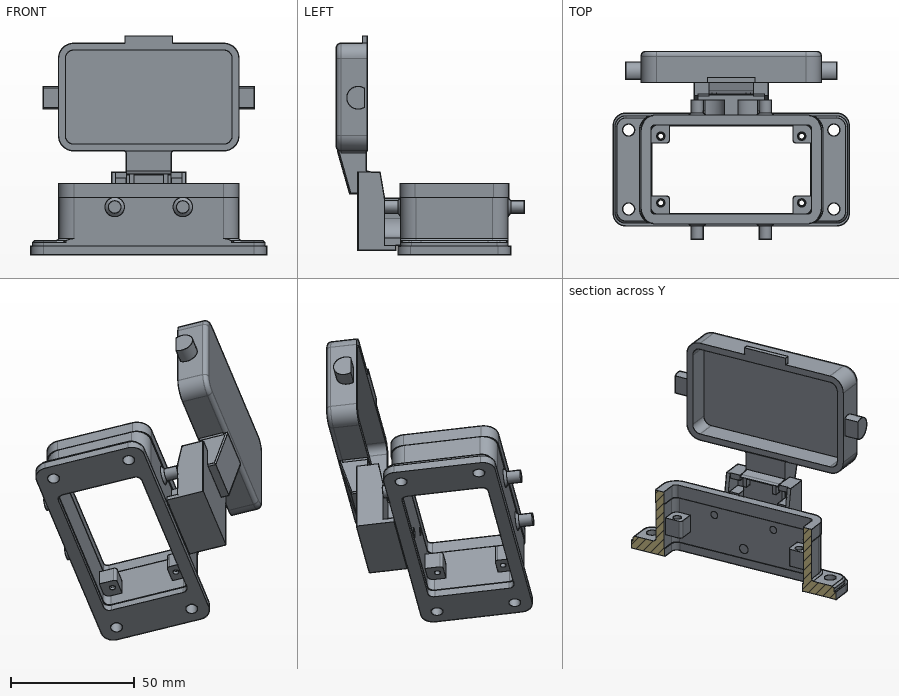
import cadquery as cq
import math


flange_length = 95.5
flange_width = 45.65
flange_height = 3.5
flange_corner = 5.2
step_ledge = 0.8
step_top = 5.8
step_chamfer = 0.9
screw_x = 41.4
screw_y = 15.95
screw_diameter = 4.8

wall_length = 72.8
wall_width = 43.4
wall_corner = 6.2
wall_root_chamfer = 0.8
collar_length = 73.0
collar_width = 44.1
collar_bottom = 23.3
housing_top = 28.9
cavity_length = 64.9
cavity_width = 36.1
cavity_corner = 1.7
cavity_lower_inset = 0.1
cavity_lower_corner = 2.5
opening_inset = 0.4

boss_x = 24.9
boss_y = 10.7
boss_bottom = 9.4
boss_top = 16.9
boss_corner = 1.1
boss_hole_x = 28.5
boss_hole_y = 13.5
boss_hole_diameter = 2.3
boss_bore_diameter = 3.3
boss_bore_depth = 5.7

pin_x = 13.75
pin_z = 19.4
pin_diameter = 5.1
pin_root_diameter = 7.8
pin_root_length = 1.1
pin_end = 28.3

bracket_front = 28.2
bracket_top_front = 30.0
bracket_back = 39.1
bracket_bottom = 1.9
bracket_top = 33.4
bracket_half_width = 15.0
bracket_edge = 0.4
web_top = 22.9
well_front = 30.2
well_bottom = 19.1
channel_half_width = 9.0
cheek_wall = 1.6
cheek_roof_front = 30.5
cheek_roof = 2.4
pocket_back = 36.3
shelf_front = 29.6
shelf_top = 25.4
foot_front = 23.6
foot_top = 3.9

pin_peg_diameter = 3.15
pin_peg_z = 19.7
post_peg_diameter = 4.0
post_peg_z = 7.7

post_half_width = 2.7
flare_start = 14.8
flare_radius = 8.0

lid_front = 35.1
lid_back = 47.75
lid_bottom = 42.0
lid_top = 85.6
lid_length = collar_length
lid_corner = wall_corner
lid_rim = 2.8
lid_recess_depth = 9.0
lid_edge_round = 2.0
tab_half_width = 9.6
tab_thickness = 2.0
tab_top = 88.5

stud_end = 42.7
stud_radius = 4.6
stud_y = 38.9
stud_z = 63.5
stud_flat = 36.4

arm_front = 35.5
arm_tail = 42.3
arm_bottom = 24.5
arm_root_back = 47.3
arm_edge = 0.6
arm_half_width = 9.2
arm_flare_height = 0.8

knuckle_front = 30.6
knuckle_front_top = 32.7
knuckle_crest = 31.9
knuckle_top = 33.1
knuckle_arm_top = 34.0
recess_depth = 2.7
recess_top = 32.4
hook_inner_x = 6.0
hook_outer_x = 7.7
hook_bottom = 28.65


def block(x0, x1, y0, y1, z0, z1):
    return cq.Workplane("XY").box(x1 - x0, y1 - y0, z1 - z0, centered=False).translate((x0, y0, z0))


def rounded_block(length, width, z0, z1, corner):
    half_x = length / 2
    half_y = width / 2
    return block(-half_x, half_x, -half_y, half_y, z0, z1).edges("|Z").fillet(corner)


def slab_along_x(points, half_width):
    """Extrude a closed (y, z) outline symmetrically about the YZ plane."""
    return cq.Workplane("YZ").polyline(points).close().extrude(half_width, both=True)


def make_shell():
    flange = rounded_block(flange_length, flange_width, 0, flange_height, flange_corner)
    step_length = flange_length - 2 * step_ledge
    step = rounded_block(step_length, wall_width, flange_height, step_top, flange_corner - step_ledge)
    step = step.faces(">Z").edges().chamfer(step_chamfer)
    root_length = wall_length + 2 * wall_root_chamfer
    root_width = wall_width + 2 * wall_root_chamfer
    root_top = step_top + wall_root_chamfer
    root = rounded_block(root_length, root_width, flange_height, root_top, wall_corner + wall_root_chamfer)
    root = root.faces(">Z").edges().chamfer(wall_root_chamfer)
    root = root.intersect(cq.Workplane("XY").box(root_length, wall_width, 2 * root_top))
    walls = rounded_block(wall_length, wall_width, flange_height, collar_bottom, wall_corner)
    collar = rounded_block(collar_length, collar_width, collar_bottom, housing_top, wall_corner)
    return flange.union(step).union(root).union(walls).union(collar)


def make_cavity():
    upper = rounded_block(cavity_length, cavity_width, collar_bottom, housing_top, cavity_corner)
    lower_length = cavity_length - 2 * cavity_lower_inset
    lower_width = cavity_width - 2 * cavity_lower_inset
    lower = rounded_block(lower_length, lower_width, flange_height, collar_bottom, cavity_lower_corner)
    opening_length = cavity_length - 2 * opening_inset
    opening_width = cavity_width - 2 * opening_inset
    opening = rounded_block(opening_length, opening_width, 0, flange_height, cavity_lower_corner)
    return upper.union(lower).union(opening)


def make_boss(side_x, side_y):
    """Boss hanging in one corner of the cavity, with a counterbored screw hole."""
    overlap = opening_inset
    outer_x = cavity_length / 2 + overlap
    outer_y = cavity_width / 2 + overlap
    boss = block(boss_x, outer_x, boss_y, outer_y, boss_bottom, boss_top)
    boss = boss.edges("|Z and <X and <Y").fillet(boss_corner)
    boss = (
        boss.faces(">Z").workplane(origin=(boss_hole_x, boss_hole_y, boss_top))
        .cboreHole(boss_hole_diameter, boss_bore_diameter, boss_bore_depth)
    )
    if side_x < 0:
        boss = boss.mirror("YZ")
    if side_y < 0:
        boss = boss.mirror("XZ")
    return boss


def make_pin(x, end):
    """Round pin with a conical root, pointing in +Y from the outer face of the back wall."""
    face = wall_width / 2
    profile = [
        (0, face),
        (pin_root_diameter / 2, face),
        (pin_diameter / 2, face + pin_root_length),
        (pin_diameter / 2, end),
        (0, end),
    ]
    pin = cq.Workplane("XY").polyline(profile).close().revolve(360, (0, 0, 0), (0, 1, 0))
    return pin.translate((x, 0, pin_z))


def make_pegs():
    """Pegs through the back wall, flush with its inner face; also the shape of their holes."""
    inner_face = cavity_width / 2 - cavity_lower_inset
    length = wall_width / 2 - inner_face
    wall_plane = cq.Workplane(cq.Plane((0, inner_face, 0), (-1, 0, 0), (0, 1, 0)))
    pin_pegs = wall_plane.pushPoints([(-pin_x, pin_peg_z), (pin_x, pin_peg_z)])
    pin_pegs = pin_pegs.circle(pin_peg_diameter / 2).extrude(length)
    post_peg = wall_plane.center(0, post_peg_z).circle(post_peg_diameter / 2).extrude(length)
    return pin_pegs.add(post_peg)


def make_bracket():
    side_outline = [
        (bracket_back, bracket_bottom),
        (foot_front, bracket_bottom),
        (foot_front, foot_top),
        (bracket_front, foot_top),
        (bracket_front, web_top),
        (bracket_top_front, bracket_top),
        (bracket_back, bracket_top),
    ]
    bracket = slab_along_x(side_outline, bracket_half_width)
    bracket = bracket.edges("|Z and >Y").chamfer(bracket_edge)
    channel = block(
        -channel_half_width, channel_half_width, bracket_front, bracket_back, web_top, bracket_top
    )
    well_back = knuckle_front + recess_depth
    well = block(-channel_half_width, channel_half_width, well_front, well_back, well_bottom, web_top)
    bracket = bracket.cut(channel).cut(well)

    pocket_outline = [
        (bracket_front, web_top),
        (bracket_front, bracket_top),
        (cheek_roof_front, bracket_top),
        (cheek_roof_front, bracket_top - cheek_roof),
        (pocket_back, bracket_top - cheek_roof),
        (pocket_back, shelf_top),
        (shelf_front, shelf_top),
        (shelf_front, web_top),
    ]
    pocket_width = bracket_half_width - cheek_wall - channel_half_width
    pocket_middle = channel_half_width + pocket_width / 2
    pocket = slab_along_x(pocket_outline, pocket_width / 2)
    for side in (-1, 1):
        bracket = bracket.cut(pocket.translate((side * pocket_middle, 0, 0)))
    return bracket


def make_post():
    flare_x = post_half_width + flare_radius
    flare_bottom = flare_start - flare_radius
    reach = flare_radius * (1 - math.sqrt(0.5))
    post = (
        cq.Workplane("XZ")
        .moveTo(-post_half_width, web_top)
        .lineTo(post_half_width, web_top)
        .lineTo(post_half_width, flare_start)
        .threePointArc((post_half_width + reach, flare_bottom + reach), (flare_x, flare_bottom))
        .lineTo(flare_x, foot_top)
        .lineTo(-flare_x, foot_top)
        .lineTo(-flare_x, flare_bottom)
        .threePointArc((-post_half_width - reach, flare_bottom + reach), (-post_half_width, flare_start))
        .close()
    )
    wall = wall_width / 2
    return post.extrude(wall - bracket_front).translate((0, wall, 0))


def make_housing():
    housing = make_shell().cut(make_cavity())
    for side_x in (-1, 1):
        for side_y in (-1, 1):
            housing = housing.union(make_boss(side_x, side_y))
        housing = housing.union(make_pin(side_x * pin_x, pin_end).mirror("XZ"))
    screws = cq.Workplane("XY").rect(2 * screw_x, 2 * screw_y, forConstruction=True).vertices()
    housing = housing.cut(screws.circle(screw_diameter / 2).extrude(step_top))
    for peg in make_pegs().vals():
        housing = housing.cut(cq.Workplane(peg))
    return housing


def make_lid_shell():
    half = lid_length / 2
    shell = block(-half, half, lid_front, lid_back, lid_bottom, lid_top)
    shell = shell.edges("|Y").fillet(lid_corner)
    shell = shell.faces(">Y").edges().fillet(lid_edge_round)
    recess_half = half - lid_rim
    recess_back = lid_front + lid_recess_depth
    recess = block(
        -recess_half, recess_half, lid_front, recess_back, lid_bottom + lid_rim, lid_top - lid_rim
    )
    recess = recess.edges("|Y").fillet(lid_corner - lid_rim)
    tab_back = lid_front + tab_thickness
    tab = block(-tab_half_width, tab_half_width, lid_front, tab_back, lid_top - lid_rim, tab_top)
    return shell.union(tab).cut(recess)


def make_stud(side_x):
    """D-shaped stud on one end of the lid, flat towards the front."""
    root = lid_length / 2 - lid_rim / 2
    stud = cq.Workplane("YZ").center(stud_y, stud_z).circle(stud_radius).extrude(stud_end - root)
    flat = block(
        0, stud_end, stud_y - stud_radius, stud_flat, stud_z - stud_radius, stud_z + stud_radius
    )
    stud = stud.cut(flat).translate((root, 0, 0))
    return stud if side_x > 0 else stud.mirror("YZ")


def make_arm():
    """Tapering arm below the lid, flared where it meets the lid."""
    arm_top = lid_bottom + lid_rim / 2
    outline = [
        (arm_front, arm_top),
        (arm_root_back, arm_top),
        (arm_root_back, lid_bottom),
        (arm_tail, arm_bottom),
        (arm_front, arm_bottom),
    ]
    arm = slab_along_x(outline, arm_half_width)
    back_middle = ((arm_root_back + arm_tail) / 2, (lid_bottom + arm_bottom) / 2)
    bottom_middle = ((arm_front + arm_tail) / 2, arm_bottom)
    for side in (-1, 1):
        for y, z in (back_middle, bottom_middle):
            edge = cq.selectors.NearestToPointSelector((side * arm_half_width, y, z))
            arm = arm.edges(edge).chamfer(arm_edge)
    flare = (
        cq.Workplane("XZ")
        .moveTo(-arm_half_width, lid_bottom - arm_flare_height)
        .lineTo(arm_half_width, lid_bottom - arm_flare_height)
        .lineTo(tab_half_width, lid_bottom)
        .lineTo(-tab_half_width, lid_bottom)
        .close()
        .extrude(arm_front - (lid_back - lid_edge_round))
        .translate((0, arm_front, 0))
    )
    return arm.union(flare)


def make_knuckle():
    """Root of the arm between the bracket cheeks, hollowed at the front below two hooks."""
    outline = [
        (bracket_back, web_top),
        (knuckle_front, web_top),
        (knuckle_front, knuckle_front_top),
        (knuckle_crest, knuckle_top),
        (arm_front, knuckle_arm_top),
        (bracket_back, knuckle_arm_top),
    ]
    knuckle = slab_along_x(outline, channel_half_width)
    recess_back = knuckle_front + recess_depth
    recess = block(
        -channel_half_width, channel_half_width, knuckle_front, recess_back, web_top, recess_top
    )
    for side in (-1, 1):
        inner, outer = sorted((side * hook_inner_x, side * hook_outer_x))
        hook = block(inner, outer, knuckle_front, recess_back, hook_bottom, recess_top)
        recess = recess.cut(hook)
    return knuckle.cut(recess)


def make_cover():
    cover = make_bracket().union(make_post()).union(make_knuckle()).union(make_arm())
    cover = cover.union(make_lid_shell())
    for side_x in (-1, 1):
        cover = cover.union(make_stud(side_x))
        cover = cover.union(make_pin(side_x * pin_x, bracket_front))
    for peg in make_pegs().vals():
        cover = cover.union(cq.Workplane(peg))
    return cover


housing = make_housing()
cover = make_cover()

result = cq.Compound.makeCompound([housing.solids().val(), cover.solids().val()])